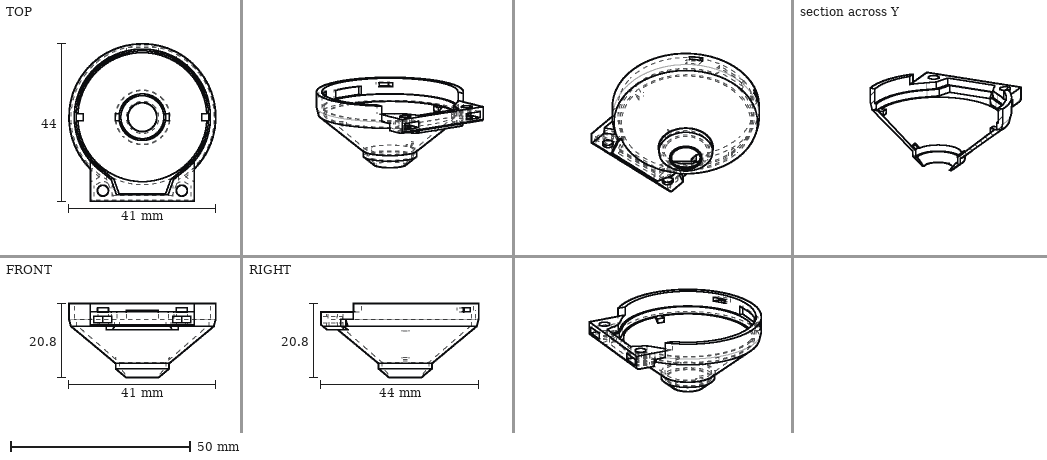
import cadquery as cq
import math


ring_radius = 20.5
ring_bore_radius = 19.0
ring_height = 6.4
seat_height = 2.0
seat_bore_radius = 18.5
joint_radius = 20.0

plate_half_width = 14.5
plate_front_y = -23.5
plate_top_z = 4.0
corner_relief_y = -18.0
relief_inner_x = 12.0
relief_inner_y = -16.6

pocket_shoulder = (8.7, -17.4)
pocket_front = (7.2, -21.65)
pocket_seat_shoulder = (7.9, -17.4)
pocket_seat_front = (6.5, -21.35)
pocket_back_angle = 46.0

screw_diameter = 3.0
screw_x = 11.0
screw_y = -20.5
nut_width = 5.0
nut_bottom_z = 1.0
nut_height = 1.75

window_x = 11.0
window_width = 3.0
window_bottom_z = 4.0
window_top_z = 5.1
recess_width = 9.0
recess_back_y = 19.5
recess_top_z = 4.45

funnel_slope = 1.205
hollow_slope = 1.145
funnel_mouth_radius = 18.0
neck_diameter = 15.0
neck_bore_diameter = 13.0
neck_top_z = -10.25
neck_bottom_z = -11.85
throat_top_radius = 6.0
outlet_radius = 4.0
tip_radius = 4.5
tip_z = -14.35

tongue_thickness = 1.0
tongue_shoulder = (10.05, -17.25)
tongue_front = (7.7, -23.2)
chamfer_start_z = 0.4
chamfer_run = 1.25

tab_width = 2.0
upper_tab_inner_x = 16.5
upper_tab_root_x = 18.5
lower_tab_outer_x = 7.5
lower_tab_top_z = -8.65
tab_root_depth = 0.5


def revolve(points):
    """Solid of revolution about Z from (radius, z) points."""
    return cq.Workplane("XZ").polyline(points).close().revolve(360, (0, 0, 0), (0, 1, 0))


def mirrored_outline(right_half):
    """Closed outline, symmetric about X = 0, from the points of its right half."""
    left_half = [(-x, y) for x, y in reversed(right_half)]
    return right_half + left_half


def prism(outline, bottom, top):
    return cq.Workplane("XY").workplane(offset=bottom).polyline(outline).close().extrude(top - bottom)


def box(x0, x1, y0, y1, z0, z1):
    return cq.Workplane("XY").box(x1 - x0, y1 - y0, z1 - z0, centered=False).translate((x0, y0, z0))


def disc(radius, bottom, top):
    return cq.Workplane("XY").workplane(offset=bottom).circle(radius).extrude(top - bottom)


def pocket(bore_radius, shoulder, front, bottom, top):
    """Round bore that runs out to a narrow bay at the front."""
    angle = math.radians(pocket_back_angle)
    bore_exit = (bore_radius * math.cos(angle), -bore_radius * math.sin(angle))
    bay = mirrored_outline([bore_exit, shoulder, front])
    return disc(bore_radius, bottom, top).union(prism(bay, bottom, top))


def front_chamfer():
    """Wedge that slopes the front edge back, running on below the joint plane."""
    depth = chamfer_start_z + tongue_thickness
    return (
        cq.Workplane("YZ")
        .polyline([
            (plate_front_y, chamfer_start_z),
            (plate_front_y, -tongue_thickness),
            (plate_front_y + depth * chamfer_run, -tongue_thickness),
        ])
        .close()
        .extrude(plate_half_width, both=True)
    )


def make_frame():
    ring = revolve([
        (0, 0),
        (joint_radius, 0),
        (ring_radius, seat_height),
        (ring_radius, ring_height),
        (0, ring_height),
    ])
    wall_gap = box(-plate_half_width, plate_half_width, plate_front_y, 0, plate_top_z, ring_height)
    ring = ring.cut(wall_gap)

    plate = box(-plate_half_width, plate_half_width, plate_front_y, 0, seat_height, plate_top_z)
    foot_outline = mirrored_outline([
        (relief_inner_x, 0),
        (relief_inner_x, relief_inner_y),
        (plate_half_width, corner_relief_y),
        (plate_half_width, plate_front_y),
    ])
    frame = ring.union(plate).union(prism(foot_outline, 0, seat_height))

    frame = frame.cut(pocket(ring_bore_radius, pocket_shoulder, pocket_front, seat_height, ring_height))
    frame = frame.cut(pocket(seat_bore_radius, pocket_seat_shoulder, pocket_seat_front, 0, seat_height))
    frame = frame.cut(front_chamfer())

    for side in (-1, 1):
        screw_hole = disc(screw_diameter / 2, 0, plate_top_z).translate((side * screw_x, screw_y, 0))
        frame = frame.cut(screw_hole).cut(nut_slot(side * screw_x))
        window = box(-window_width / 2, window_width / 2, 0, ring_radius, window_bottom_z, window_top_z)
        frame = frame.cut(window.translate((side * window_x, 0, 0)))

    back_recess = box(-recess_width / 2, recess_width / 2, 0, recess_back_y, seat_height, recess_top_z)
    return frame.cut(back_recess)


def nut_slot(x):
    """Slot open to the front, ending in the point of a hexagonal nut."""
    half = nut_width / 2
    half_side = half * math.tan(math.pi / 6)
    side_y = screw_y + half_side
    point_y = screw_y + 2 * half_side
    outline = [(half, plate_front_y), (half, side_y), (0, point_y), (-half, side_y), (-half, plate_front_y)]
    return prism(outline, nut_bottom_z, nut_bottom_z + nut_height).translate((x, 0, 0))


def tab(profile):
    """Lug of constant width across the XZ plane, from (x, z) points."""
    return cq.Workplane("XZ").polyline(profile).close().extrude(tab_width / 2, both=True)


def make_funnel():
    neck_radius = neck_diameter / 2
    cone_end_radius = joint_radius + funnel_slope * neck_top_z

    body = revolve([
        (0, 0),
        (joint_radius, 0),
        (cone_end_radius, neck_top_z),
        (neck_radius, neck_top_z),
        (neck_radius, neck_bottom_z),
        (tip_radius, tip_z),
        (0, tip_z),
    ])
    tongue_outline = mirrored_outline([(joint_radius / 2, 0), tongue_shoulder, tongue_front])
    tongue = prism(tongue_outline, -tongue_thickness, 0).cut(front_chamfer())
    body = body.union(tongue)

    hollow_depth = (funnel_mouth_radius - throat_top_radius) / hollow_slope
    hollow = revolve([
        (0, 0),
        (funnel_mouth_radius, 0),
        (throat_top_radius, -hollow_depth),
        (0, -hollow_depth),
    ])
    funnel = body.cut(hollow)

    upper_tab = tab([
        (upper_tab_inner_x, 0),
        (upper_tab_root_x, 0),
        (upper_tab_root_x, -tab_root_depth),
        (upper_tab_inner_x, -(funnel_mouth_radius - upper_tab_inner_x) / hollow_slope - tab_root_depth),
    ])
    lower_tab = tab([
        (throat_top_radius, neck_top_z),
        (throat_top_radius, lower_tab_top_z - (lower_tab_outer_x - throat_top_radius)),
        (lower_tab_outer_x, lower_tab_top_z),
        (lower_tab_outer_x, lower_tab_top_z - 2 * tab_root_depth),
    ])
    for angle in (0, 180):
        for lug in (upper_tab, lower_tab):
            funnel = funnel.union(lug.rotate((0, 0, 0), (0, 0, 1), angle))

    bore = revolve([
        (0, 0),
        (neck_bore_diameter / 2, 0),
        (neck_bore_diameter / 2, neck_bottom_z),
        (throat_top_radius, neck_bottom_z),
        (outlet_radius, tip_z),
        (0, tip_z),
    ])
    return funnel.cut(bore)


frame = make_frame()
funnel = make_funnel()
result = cq.Compound.makeCompound([frame.val(), funnel.val()])